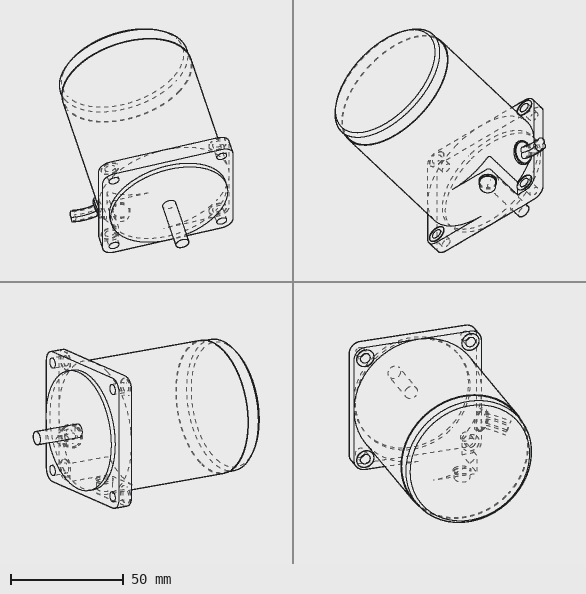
import cadquery as cq


cap_end = 6.9
flange_rear = 68.3
flange_front = 74.9
pilot_end = 77.0
shaft_end = 99.0

flange_side = 60.0
body_radius = flange_side / 2
cap_step = 0.4
cap_radius = body_radius - cap_step
cap_chamfer = 1.5
pilot_diameter = 54.0
shaft_diameter = 6.0

flange_corner_radius = 5.2
hole_spacing = 49.5
hole_diameter = 4.6
pad_diameter = 8.1
pad_height = 0.3

block_length = 20.4
block_reach = 20.8
block_edge_radius = 1.1

plug_x = 53.6
plug_y = -15.5
plug_height = 4.95
plug_radius = 3.6
plug_round = 1.6
plug_collar_radius = 4.0
plug_collar_height = 0.9
plug_root = 1.0

gland_x = 63.0
gland_tilt = 22.5
gland_height = 1.6
gland_radius = 4.8
gland_round = 0.6
gland_collar_radius = 5.3
gland_collar_height = 0.6
gland_root = 2.0

wire_radius = 1.5
wire_offset_axial = 1.3
wire_offset_around = 1.9
bend_radius = 26.5
bend_angle = 25.3


def axial_cylinder(diameter, start, end):
    return cq.Workplane("YZ", origin=(start, 0, 0)).circle(diameter / 2).extrude(end - start)


def corner_cylinders(diameter, start, end):
    """Four cylinders along X, one at each mounting hole."""
    return (
        cq.Workplane("YZ", origin=(start, 0, 0))
        .rect(hole_spacing, hole_spacing, forConstruction=True)
        .vertices()
        .circle(diameter / 2)
        .extrude(end - start)
    )


def collared_boss(radius, height, edge_round, collar_radius, collar_height, root):
    """Upright round boss in a wider collar, seated at Z = 0 and sunk below it by root."""
    boss = cq.Workplane("XY").circle(radius).extrude(height).faces(">Z").edges().fillet(edge_round)
    collar = cq.Workplane("XY", origin=(0, 0, -root)).circle(collar_radius).extrude(root + collar_height)
    return boss.union(collar)


def wire(axial, around):
    """One bent wire rising from Z = 0; the bend axis is parallel to Y, on the -X side."""
    return (
        cq.Workplane("XY")
        .center(axial, around)
        .circle(wire_radius)
        .revolve(bend_angle, (-bend_radius - axial, 0), (-bend_radius - axial, -1))
    )


body = axial_cylinder(2 * body_radius, cap_end, flange_rear)
cap = axial_cylinder(2 * cap_radius, 0, cap_end).faces("<X").chamfer(cap_chamfer)
pilot = axial_cylinder(pilot_diameter, flange_front, pilot_end)
shaft = axial_cylinder(shaft_diameter, pilot_end, shaft_end)

flange = (
    cq.Workplane("YZ", origin=(flange_rear, 0, 0))
    .rect(flange_side, flange_side)
    .extrude(flange_front - flange_rear)
    .edges("|X")
    .fillet(flange_corner_radius)
)
pads = corner_cylinders(pad_diameter, flange_rear - pad_height, flange_rear)
holes = corner_cylinders(hole_diameter, flange_rear - pad_height, flange_front)

block = (
    cq.Workplane("XY")
    .box(block_length, block_reach, body_radius, centered=False)
    .translate((flange_rear - block_length, -block_reach, -body_radius))
    .faces("<X")
    .edges("<Y")
    .fillet(block_edge_radius)
)

plug = (
    collared_boss(plug_radius, plug_height, plug_round, plug_collar_radius, plug_collar_height, plug_root)
    .rotate((0, 0, 0), (1, 0, 0), 180)
    .translate((plug_x, plug_y, -body_radius))
)

cable_exit = collared_boss(
    gland_radius, gland_height, gland_round, gland_collar_radius, gland_collar_height, gland_root
)
wire_places = [
    (wire_offset_axial, 0),
    (-wire_offset_axial, 0),
    (0, wire_offset_around),
    (0, -wire_offset_around),
]
for axial, around in wire_places:
    cable_exit = cable_exit.union(wire(axial, around).translate((0, 0, gland_height)))
cable_exit = (
    cable_exit.translate((gland_x, 0, body_radius))
    .rotate((0, 0, 0), (1, 0, 0), 90 + gland_tilt)
)

result = body
for piece in (cap, pilot, shaft, flange, pads, block, plug, cable_exit):
    result = result.union(piece)
result = result.cut(holes)